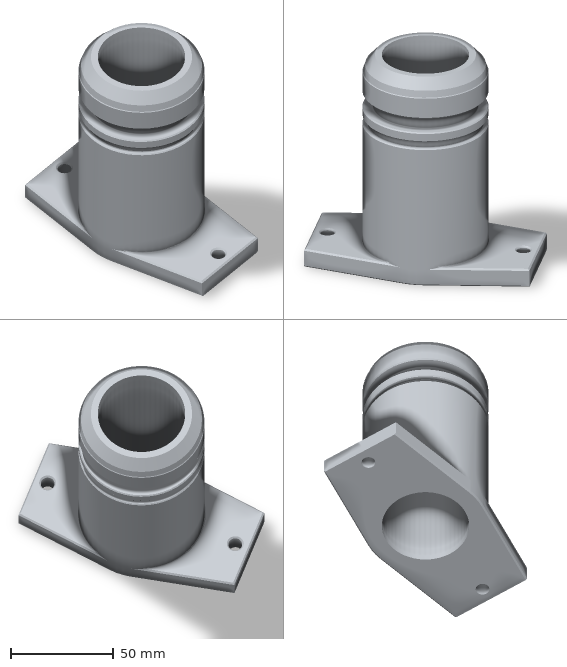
import cadquery as cq
import math

plate_length = 112.7
plate_height = 9.7
edge_break = 0.8
taper_angle = math.radians(10)
hole_spacing = 98.1
hole_diameter = 6.8
hole_mouth_diameter = 8.3

total_height = 111.1
tube_diameter = 61.9
tube_radius = tube_diameter / 2
bore_radius = 21.4
foot_fillet = 0.6

head_bottom = 91.1
nose_radius = 24.8
nose_base_radius = 29.6
nose_base_z = 105.8
shoulder_z = 102.5
shoulder_break = 0.3

collar_bottom = 78.3
collar_top = 83.4
body_top = 74.6
upper_groove_radius = 25.8
lower_groove_radius = 28.6
rim_chamfer = 0.6
groove_fillet = 0.6


def make_wing(side):
    """Half of the plate (side -1 or 1); its tapered sides run tangent to the tube."""
    end_x = plate_length / 2
    end_y = tube_radius / math.cos(taper_angle) - end_x * math.tan(taper_angle)
    tangent_x = tube_radius * math.sin(taper_angle)
    tangent_y = tube_radius * math.cos(taper_angle)
    wing = (
        cq.Workplane("XY")
        .moveTo(tangent_x, -tangent_y)
        .lineTo(end_x, -end_y)
        .lineTo(end_x, end_y)
        .lineTo(tangent_x, tangent_y)
        .close()
        .extrude(plate_height)
    )
    wing = wing.faces("<Z").edges("not |Y").chamfer(edge_break)
    wing = wing.faces(">Z").edges("not(|Y and <X)").chamfer(edge_break)
    return wing if side > 0 else wing.mirror("YZ")


def make_tube():
    """Solid of revolution with the conical head, collar and grooves."""
    diagonal = math.sqrt(0.5)
    rim_radius = tube_radius - rim_chamfer
    root_radius = upper_groove_radius + groove_fillet
    root_offset = groove_fillet * (1 - diagonal)
    return (
        cq.Workplane("XZ")
        .moveTo(0, 0)
        .lineTo(tube_radius - edge_break, 0)
        .lineTo(tube_radius, edge_break)
        .lineTo(tube_radius, body_top - rim_chamfer)
        .lineTo(rim_radius, body_top)
        .lineTo(lower_groove_radius, body_top)
        .lineTo(lower_groove_radius, collar_bottom)
        .lineTo(rim_radius, collar_bottom)
        .lineTo(tube_radius, collar_bottom + rim_chamfer)
        .lineTo(tube_radius, collar_top - rim_chamfer)
        .lineTo(rim_radius, collar_top)
        .lineTo(root_radius, collar_top)
        .threePointArc(
            (upper_groove_radius + root_offset, collar_top + root_offset),
            (upper_groove_radius, collar_top + groove_fillet),
        )
        .lineTo(upper_groove_radius, head_bottom - groove_fillet)
        .threePointArc(
            (upper_groove_radius + root_offset, head_bottom - root_offset),
            (root_radius, head_bottom),
        )
        .lineTo(rim_radius, head_bottom)
        .lineTo(tube_radius, head_bottom + rim_chamfer)
        .lineTo(tube_radius, shoulder_z - shoulder_break)
        .lineTo(tube_radius - shoulder_break, shoulder_z)
        .lineTo(nose_base_radius, nose_base_z)
        .lineTo(nose_radius, total_height)
        .lineTo(0, total_height)
        .close()
        .revolve(360, (0, 0, 0), (0, 1, 0))
    )


def make_foot_fillet(wing):
    """Concave ring between tube and plate, kept within the wing's top face."""
    offset = foot_fillet * (1 - math.sqrt(0.5))
    ring = (
        cq.Workplane("XZ")
        .moveTo(tube_radius - foot_fillet, plate_height)
        .lineTo(tube_radius + foot_fillet, plate_height)
        .threePointArc(
            (tube_radius + offset, plate_height + offset),
            (tube_radius, plate_height + foot_fillet),
        )
        .lineTo(tube_radius - foot_fillet, plate_height + foot_fillet)
        .close()
        .revolve(360, (0, 0, 0), (0, 1, 0))
    )
    top_face = wing.faces(">Z").wires().toPending().extrude(foot_fillet, combine=False)
    return ring.intersect(top_face)


def make_hole(x):
    """Through hole with a small chamfer at its upper mouth."""
    mouth_depth = (hole_mouth_diameter - hole_diameter) / 2
    drill = cq.Workplane("XY").center(x, 0).circle(hole_diameter / 2).extrude(plate_height)
    mouth = cq.Workplane(
        cq.Solid.makeCone(
            hole_diameter / 2,
            hole_mouth_diameter / 2,
            mouth_depth,
            cq.Vector(x, 0, plate_height - mouth_depth),
        )
    )
    return drill.union(mouth)


result = make_tube()
for side in (-1, 1):
    wing = make_wing(side)
    result = result.union(wing).union(make_foot_fillet(wing))
    result = result.cut(make_hole(side * hole_spacing / 2))
bore = cq.Workplane("XY").circle(bore_radius).extrude(total_height)
result = result.cut(bore)